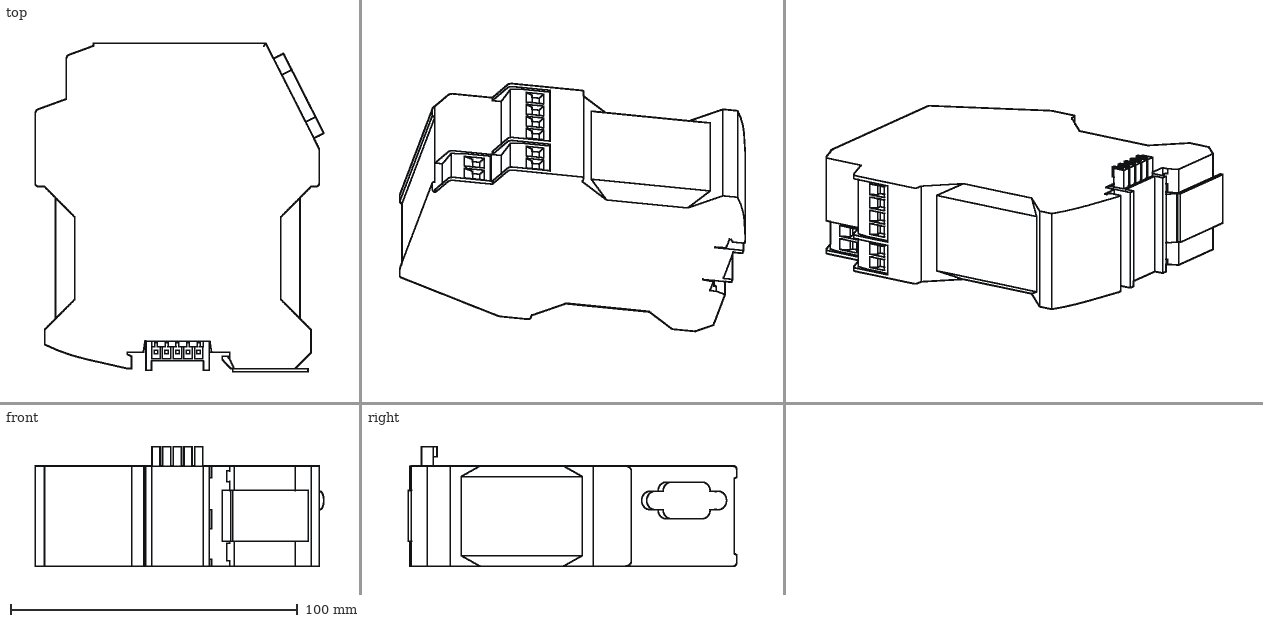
import cadquery as cq
import math

body_height = 35.1
pin_top = 41.8
body_right = 99.1
cover_top = 114.59

step_x = 10.8
step_slope = math.tan(math.radians(20))
lower_step_y = 91.2
upper_step_y = 110.2
cover_left = 20.3
cover_right = 80.4
slope_foot_y = 77.7
step_round = 1.8

shoulder_y = 64.6
shoulder_round = 1.1
mirror_x = 49.75
waist_x = 13.8
waist_y_low = 25.2
waist_y_high = 54.0
hip_x = 3.3
hip_y = waist_y_low - (waist_x - hip_x)
block_x = 7.1
block_edge_z = 3.75
block_reach = waist_x - block_x

belly_corner_y = 9.5
belly_mid = (10.45, 6.5)
belly_end = (17.9, 4.35)
toe_y = 1.1
toe_x = 33.7
hook_x = 32.2
hook_y = 5.4
hook_bevel = 0.7
rail_y = 6.8
right_hook_x = 67.8
right_hook_y = 4.5
right_toe_x = 69.4
right_toe_end_x = 90.7

rim_round = 1.4
groove_depth = 0.9
groove_slant = 0.5
groove_z_low = 4.0
groove_z_high = 31.1

rib = 1.25
divider_z_low = 12.0
plug_bottom = 14.6
plug_bend = 5.1
plug_crown = 0.8
plug_top = 0.8
plug_depth = 1.2
plug_slant_depth = 2.0
recess_clearance = 5.0
opening_height = 3.9
opening_depth = 3.0
opening_ramp_depth = 1.5
opening_low = 12.5
opening_floor_low = 11.4
opening_floor_high = 8.6
opening_high_upper_plug = 5.3
opening_high_lower_plugs = 6.2
opening_pitch = 4.85
pair_first_z = 4.1
row_first_z = 16.25

connector_start = 21.6
connector_rise = 3.9
connector_root = 1.8
connector_half_length = 15.6
connector_round = 3.2
connector_block_half_length = 9.2
connector_block_half_width = 2 * connector_round
connector_z = 23.0

bracket_left = 38.6
bracket_right = 60.75
bracket_low = 0.5
bracket_high = 10.7
bracket_top_z = body_height - 0.1
bracket_leg = 2.05
bracket_bar_low = 3.8
bracket_ledge_y = 8.8
bracket_ledge_drop = 0.4
gap_top = 0.2
gap_bottom = 0.8
right_gap_z_ranges = [(0, 2.5), (13.1, 19.7), (30.9, body_height)]

pin_count = 5
pin_row_x = 49.6
pin_pitch = 3.72
pin_width = 2.92
pin_low = 4.6
pin_key_width = 1.0
pin_key_high = 10.1
pin_key_z = 38.2
socket_size = 1.2
socket_depth = 3.0
socket_y = 6.9

foot_left = 68.9
foot_right = 95.2
foot_z_low = 8.7
foot_z_high = 26.5
latch_x = 65.2
latch_y = 5.5
latch_tip = 1.2
latch_foot_gap = 0.7
nub_x = 66.9
nub_z_ranges = [(1.9, 8.1), (29.6, 33.3)]


def prism(points, z_low, z_high):
    """Closed polygon in XY, filled from z_low to z_high."""
    return cq.Workplane("XY").workplane(offset=z_low).polyline(points).close().extrude(z_high - z_low)


def box(x_range, y_range, z_range):
    sizes = [high - low for low, high in (x_range, y_range, z_range)]
    return cq.Workplane("XY").box(*sizes, centered=False).translate((x_range[0], y_range[0], z_range[0]))


def edge_near(x, y):
    """Selector for the upright edge at (x, y)."""
    return cq.selectors.NearestToPointSelector((x, y, body_height / 2))


def make_housing():
    left_shoulder = waist_x - (shoulder_y - waist_y_high)
    cover_left_y = upper_step_y + (cover_left - step_x) * step_slope
    housing = (
        cq.Workplane("XY")
        .moveTo(hip_x, belly_corner_y)
        .threePointArc(belly_mid, belly_end)
        .lineTo(hook_x, toe_y)
        .lineTo(toe_x, toe_y)
        .lineTo(toe_x, hook_y)
        .lineTo(hook_x, hook_y + hook_bevel)
        .lineTo(hook_x, rail_y)
        .lineTo(right_hook_x, rail_y)
        .lineTo(right_hook_x, right_hook_y)
        .lineTo(right_toe_x, toe_y)
        .lineTo(right_toe_end_x, toe_y)
        .lineTo(2 * mirror_x - hip_x, toe_y + 2 * mirror_x - hip_x - right_toe_end_x)
        .lineTo(2 * mirror_x - hip_x, hip_y)
        .lineTo(2 * mirror_x - waist_x, waist_y_low)
        .lineTo(2 * mirror_x - waist_x, waist_y_high)
        .lineTo(2 * mirror_x - left_shoulder, shoulder_y)
        .lineTo(body_right, shoulder_y)
        .lineTo(body_right, slope_foot_y)
        .lineTo(cover_right, cover_top)
        .lineTo(cover_left, cover_top)
        .lineTo(cover_left, cover_left_y)
        .lineTo(step_x, upper_step_y)
        .lineTo(step_x, lower_step_y + step_x * step_slope)
        .lineTo(0, lower_step_y)
        .lineTo(0, shoulder_y)
        .lineTo(left_shoulder, shoulder_y)
        .lineTo(waist_x, waist_y_high)
        .lineTo(waist_x, waist_y_low)
        .lineTo(hip_x, hip_y)
        .close()
        .extrude(body_height)
    )
    for corner in ((step_x, upper_step_y), (0, lower_step_y)):
        housing = housing.edges(edge_near(*corner)).fillet(step_round)
    for corner in ((0, shoulder_y), (body_right, shoulder_y)):
        housing = housing.edges(edge_near(*corner)).fillet(shoulder_round)
    return round_cover_rim(housing)


def round_cover_rim(housing):
    """Round the front and back edges of the flat top and the sloped face."""
    slope_middle = ((cover_right + body_right) / 2, (cover_top + slope_foot_y) / 2)
    top_middle = ((cover_left + cover_right) / 2, cover_top)
    for z in (0, body_height):
        edges = []
        for x, y in (top_middle, slope_middle):
            edges.append(housing.edges(cq.selectors.NearestToPointSelector((x, y, z))).val())
        housing = housing.newObject(edges).fillet(rim_round)
    return housing


def cover_groove():
    """Shallow channel between the two rims of the flat top, with slanted sides."""
    floor_y = cover_top - groove_depth
    return (
        cq.Workplane("YZ")
        .polyline([
            (cover_top, groove_z_low),
            (floor_y, groove_z_low + groove_slant),
            (floor_y, groove_z_high - groove_slant),
            (cover_top, groove_z_high),
        ])
        .close()
        .extrude(body_right)
    )


def waist_block():
    """Block filling the left waist notch, its front and back sloping down to the waist wall."""
    y_low = hip_y + block_x - hip_x
    y_high = waist_y_high + block_reach
    return (
        cq.Workplane("XZ", origin=(0, y_high, 0))
        .polyline([
            (waist_x, 0),
            (block_x, block_edge_z),
            (block_x, body_height - block_edge_z),
            (waist_x, body_height),
        ])
        .close()
        .extrude(y_high - y_low)
    )


def plug_cut(corner_x, corner_y, back_x, z_range, opening_zs, opening_high):
    """Material to remove around and inside a terminal plug set back in a step of the housing."""
    face_x = corner_x + plug_depth
    outside_x = corner_x - recess_clearance
    above_y = corner_y + recess_clearance
    bottom_y = corner_y - plug_bottom
    cut = prism([
        (outside_x, bottom_y),
        (face_x, bottom_y),
        (face_x, corner_y - plug_bend),
        (corner_x + plug_slant_depth, corner_y - plug_crown),
        (back_x, corner_y + plug_top),
        (back_x, above_y),
        (outside_x, above_y),
    ], *z_range)
    floor_x = face_x + opening_depth
    floor_high_y = corner_y - opening_floor_high
    for z in opening_zs:
        cut = cut.union(prism([
            (face_x, corner_y - opening_low),
            (floor_x, corner_y - opening_floor_low),
            (floor_x, floor_high_y),
            (face_x + opening_ramp_depth, floor_high_y),
            (face_x, corner_y - opening_high),
        ], z - opening_height / 2, z + opening_height / 2))
    return cut


def connector():
    """Oblong with round ends and a wider round-cornered middle, standing on the sloped face."""
    slope_x = body_right - cover_right
    slope_y = slope_foot_y - cover_top
    slope_length = math.hypot(slope_x, slope_y)
    along = (slope_x / slope_length, slope_y / slope_length)
    origin = (
        cover_right + along[0] * connector_start,
        cover_top + along[1] * connector_start,
        connector_z,
    )
    plane = cq.Plane(origin=origin, xDir=(along[0], along[1], 0), normal=(-along[1], along[0], 0))
    sunk = plane.toWorldCoords((0, 0, -connector_root))
    base = cq.Workplane(cq.Plane(origin=sunk, xDir=plane.xDir, normal=plane.zDir))
    rise = connector_rise + connector_root
    bar = base.slot2D(2 * connector_half_length, 2 * connector_round).extrude(rise)
    middle = (
        base.rect(2 * connector_block_half_length, 2 * connector_block_half_width)
        .extrude(rise)
        .edges(cq.selectors.ParallelDirSelector(plane.zDir))
        .fillet(connector_round)
    )
    return bar.union(middle)


def leg_gap(leg_x, outward, z_low, z_high):
    """Tapered gap beside a bracket leg; outward is -1 on the left and 1 on the right."""
    return prism([
        (leg_x, rail_y),
        (leg_x + outward * gap_bottom, rail_y),
        (leg_x + outward * gap_top, bracket_high),
        (leg_x, bracket_high),
    ], z_low, z_high)


def bracket_slot():
    """Pocket for the bus bracket: a full-height gap on its left, three short ones on its right."""
    slot = box((bracket_left, bracket_right), (bracket_low, bracket_high), (0, body_height))
    slot = slot.union(leg_gap(bracket_left, -1, 0, body_height))
    for z_low, z_high in right_gap_z_ranges:
        slot = slot.union(leg_gap(bracket_right, 1, z_low, z_high))
    return slot


def bracket():
    inner_left = bracket_left + bracket_leg
    inner_right = bracket_right - bracket_leg
    legs = box((bracket_left, bracket_right), (bracket_low, bracket_high), (0, bracket_top_z))
    opening = box((inner_left, inner_right), (bracket_low, bracket_bar_low), (0, bracket_top_z))
    ledge = box(
        (inner_left, inner_right),
        (bracket_ledge_y, bracket_high),
        (bracket_top_z - bracket_ledge_drop, bracket_top_z),
    )
    return legs.cut(opening).cut(ledge)


def bus_pins():
    """Row of keyed pins with a blind square socket in each tip."""
    pins = cq.Workplane("XY")
    root_z = bracket_top_z - 2 * bracket_ledge_drop
    for index in range(pin_count):
        x = pin_row_x + (index - (pin_count - 1) / 2) * pin_pitch
        pin = box((x - pin_width / 2, x + pin_width / 2), (pin_low, bracket_ledge_y), (root_z, pin_top))
        key = box(
            (x - pin_key_width / 2, x + pin_key_width / 2),
            (pin_low, pin_key_high),
            (pin_key_z, pin_top),
        )
        socket = box(
            (x - socket_size / 2, x + socket_size / 2),
            (socket_y - socket_size / 2, socket_y + socket_size / 2),
            (pin_top - socket_depth, pin_top),
        )
        pins = pins.union(pin.union(key).cut(socket))
    return pins


def foot_latch():
    """Foot plate under the housing with a slanted latch nose, and the nubs beside it."""
    foot = prism([
        (foot_left, 0),
        (foot_right, 0),
        (foot_right, toe_y),
        (right_toe_x, toe_y),
        (right_hook_x, latch_y),
        (latch_x, latch_y),
        (latch_x, latch_y - latch_tip),
        (foot_left - latch_foot_gap, toe_y),
        (foot_left, toe_y),
    ], foot_z_low, foot_z_high)
    for z_low, z_high in nub_z_ranges:
        foot = foot.union(prism([
            (nub_x, latch_y),
            (right_hook_x, right_hook_y),
            (right_hook_x, latch_y),
        ], z_low, z_high))
    return foot


left_block = waist_block()
right_block = left_block.mirror("YZ", (mirror_x, 0, 0))
pair_zs = [pair_first_z + i * opening_pitch for i in range(2)]
row_zs = [row_first_z + i * opening_pitch for i in range(4)]
pair_range = (rib, divider_z_low)
row_range = (divider_z_low + rib, body_height - rib)
lower_corner = (0, lower_step_y, step_x)
upper_corner = (step_x, upper_step_y, cover_left)

housing = make_housing().union(left_block).union(right_block)
housing = housing.cut(cover_groove())
housing = housing.cut(plug_cut(*lower_corner, pair_range, pair_zs, opening_high_lower_plugs))
housing = housing.cut(plug_cut(*lower_corner, row_range, row_zs, opening_high_lower_plugs))
housing = housing.cut(plug_cut(*upper_corner, pair_range, pair_zs, opening_high_upper_plug))
housing = housing.cut(bracket_slot())

result = housing.union(bracket()).union(bus_pins()).union(connector()).union(foot_latch())